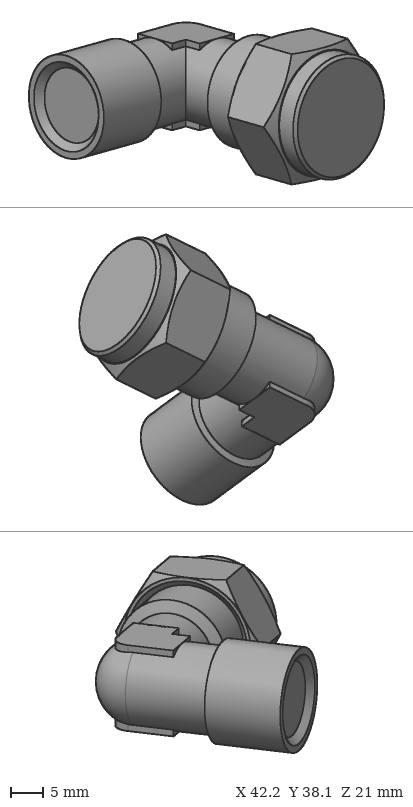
import cadquery as cq
import math


tube_radius = 7.0

pad_half_width = 3.75
pad_reach = 6.75
pad_corner_radius = 3.0

socket_radius = 8.25
socket_end = 26.0
socket_start = 13.25
socket_shoulder_length = 0.3
socket_mouth_radius = 7.1
socket_floor_radius = 5.95
socket_depth = 1.15

collar_radius = 8.95
collar_start = 13.05
collar_shoulder_length = 0.7

nut_across_flats = 21.0
nut_start = 20.5
nut_end = 30.5
nut_back_face_radius = 10.45
nut_front_face_radius = 10.05
nut_chamfer_angle = math.radians(30)
nut_cone_overrun = 1.0
nut_recess_radius = 9.85
nut_recess_depth = nut_recess_radius - collar_radius

rim_radius = 9.9
rim_end = 34.0
rim_chamfer = 0.5


def revolve_about_x(points):
    """Solid of revolution about X from (distance along X, radius) points."""
    return cq.Workplane("XY").polyline(points).close().revolve(360, (0, 0, 0), (1, 0, 0))


def along_socket_arm(solid):
    """Turn a solid built along +X so that it lies along -Y."""
    return solid.rotate((0, 0, 0), (0, 0, 1), -90)


def make_elbow():
    ball = cq.Workplane("XY").sphere(tube_radius)
    nut_tube = cq.Workplane("YZ").circle(tube_radius).extrude(nut_start)
    socket_tube = along_socket_arm(cq.Workplane("YZ").circle(tube_radius).extrude(socket_start))
    return ball.union(nut_tube).union(socket_tube)


def make_pads():
    """L-shaped flats, tangent to the tubes, with a rounded outer corner."""
    arc_middle = pad_half_width - pad_corner_radius * (1 - math.sqrt(0.5))
    arc_end = pad_half_width - pad_corner_radius
    outline = (
        cq.Workplane("XY")
        .workplane(offset=-tube_radius)
        .moveTo(-pad_half_width, -pad_reach)
        .lineTo(pad_half_width, -pad_reach)
        .lineTo(pad_half_width, -pad_half_width)
        .lineTo(pad_reach, -pad_half_width)
        .lineTo(pad_reach, pad_half_width)
        .lineTo(-arc_end, pad_half_width)
        .threePointArc((-arc_middle, arc_middle), (-pad_half_width, arc_end))
        .close()
    )
    return outline.extrude(2 * tube_radius)


def make_socket():
    """Thicker end of the socket arm, with a coned shoulder and a shallow tapered mouth."""
    profile = [
        (socket_start, 0),
        (socket_start, tube_radius),
        (socket_start + socket_shoulder_length, socket_radius),
        (socket_end, socket_radius),
        (socket_end, socket_mouth_radius),
        (socket_end - socket_depth, socket_floor_radius),
        (socket_end - socket_depth, 0),
    ]
    return along_socket_arm(revolve_about_x(profile))


def make_collar():
    profile = [
        (collar_start, 0),
        (collar_start, tube_radius),
        (collar_start + collar_shoulder_length, collar_radius),
        (nut_end, collar_radius),
        (nut_end, 0),
    ]
    return revolve_about_x(profile)


def make_nut():
    """Hexagon with flats facing +Z and -Z, conically chamfered at both ends."""
    corner_radius = nut_across_flats / math.sqrt(3)
    cone_radius = corner_radius + nut_cone_overrun
    back_length = (cone_radius - nut_back_face_radius) * math.tan(nut_chamfer_angle)
    front_length = (cone_radius - nut_front_face_radius) * math.tan(nut_chamfer_angle)
    envelope = [
        (nut_start + nut_recess_depth, 0),
        (nut_start + nut_recess_depth, collar_radius),
        (nut_start, nut_recess_radius),
        (nut_start, nut_back_face_radius),
        (nut_start + back_length, cone_radius),
        (nut_end - front_length, cone_radius),
        (nut_end, nut_front_face_radius),
        (nut_end, 0),
    ]
    hexagon = (
        cq.Workplane("YZ")
        .workplane(offset=nut_start)
        .polygon(6, 2 * corner_radius)
        .extrude(nut_end - nut_start)
    )
    return hexagon.intersect(revolve_about_x(envelope))


def make_rim():
    profile = [
        (nut_end, 0),
        (nut_end, rim_radius),
        (rim_end - rim_chamfer, rim_radius),
        (rim_end, rim_radius - rim_chamfer),
        (rim_end, 0),
    ]
    return revolve_about_x(profile)


result = make_elbow()
for feature in (make_pads(), make_socket(), make_collar(), make_nut(), make_rim()):
    result = result.union(feature)